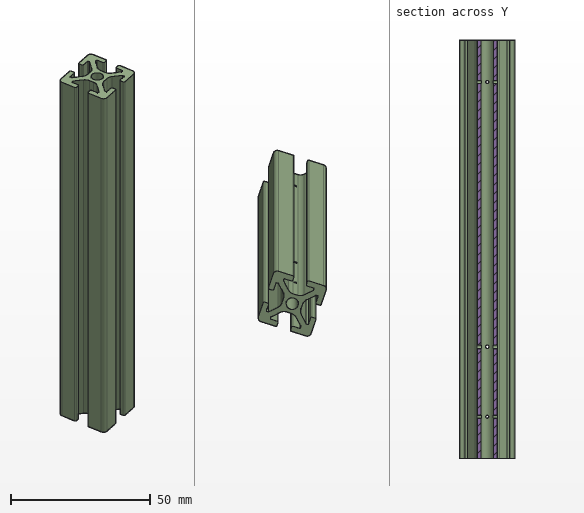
import cadquery as cq
import math

length = 150.0
side = 20.0
corner_radius = 1.5
bore_diameter = 4.4

slot_opening = 5.1
pocket_top = 8.0
lip_radius = 0.5
pocket_width = 11.2
floor_height = 3.6
floor_flat_width = 1.8
strut_thickness = 2.1

small_pin_diameter = 1.0
large_pin_diameter = 1.2
pin_holes = (
    (15.0, small_pin_diameter),
    (40.0, large_pin_diameter),
    (135.0, small_pin_diameter),
)

half_side = side / 2


def arc_point(center, radius, degrees):
    """Point on a circle, at an angle measured counterclockwise from +X."""
    angle = math.radians(degrees)
    return center[0] + radius * math.cos(angle), center[1] + radius * math.sin(angle)


def slot_cutter():
    """T-slot opening toward +Y, with rounded lips and a floor blended into the 45 degree strut faces."""
    opening = slot_opening / 2
    wall = pocket_width / 2
    flat = floor_flat_width / 2
    strut_offset = strut_thickness / math.sqrt(2)

    tangent_length = floor_height - strut_offset - flat
    blend_radius = tangent_length / math.tan(math.radians(22.5))
    blend_center = (flat, floor_height + blend_radius)

    lip_center_x = opening + lip_radius
    outer_center = (lip_center_x, half_side - lip_radius)
    inner_center = (lip_center_x, pocket_top + lip_radius)

    half_profile = (
        cq.Workplane("XY")
        .moveTo(0, floor_height)
        .lineTo(flat, floor_height)
        .threePointArc(
            arc_point(blend_center, blend_radius, -67.5),
            arc_point(blend_center, blend_radius, -45),
        )
        .lineTo(wall, wall + strut_offset)
        .lineTo(wall, pocket_top)
        .lineTo(lip_center_x, pocket_top)
        .threePointArc(arc_point(inner_center, lip_radius, 225), (opening, inner_center[1]))
        .lineTo(opening, outer_center[1])
        .threePointArc(arc_point(outer_center, lip_radius, 135), (lip_center_x, half_side))
        .lineTo(0, half_side)
    )
    return half_profile.mirrorY().extrude(length)


def pin_hole(plane, height, diameter):
    """Pin hole through the whole bar, normal to the given plane."""
    return (
        cq.Workplane(plane)
        .center(0, height)
        .circle(diameter / 2)
        .extrude(half_side, both=True)
    )


result = (
    cq.Workplane("XY")
    .rect(side, side)
    .extrude(length)
    .edges("|Z")
    .fillet(corner_radius)
    .faces(">Z")
    .workplane()
    .hole(bore_diameter)
)

slot = slot_cutter()
for turn in (0, 90, 180, 270):
    result = result.cut(slot.rotate((0, 0, 0), (0, 0, 1), turn))

for pin_height, pin_diameter in pin_holes:
    for pin_plane in ("XZ", "YZ"):
        result = result.cut(pin_hole(pin_plane, pin_height, pin_diameter))